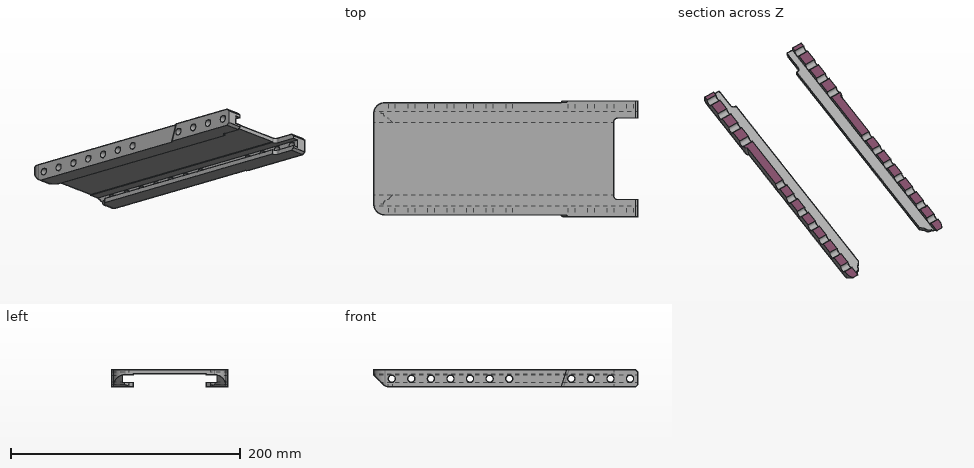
import cadquery as cq
import math

LENGTH = 230.0
WIDTH = 101.0
HEIGHT = 15.0

PLATE_THICKNESS = 4.4
RELIEF_DEPTH = 0.7
FLANGE_THICKNESS = 4.0
WALL_INSET = 9.5
FLANGE_INSET = 18.9

SIDE_STEP = 1.5
CORNER_RADIUS = 10.0
STEP_BOTTOM_X = 163.0
STEP_TOP_X = 168.0
STEP_RADIUS = 2.0

BEVEL_BLEND_RADIUS = 7.0

NOTCH_X = 209.0
FORK_WIDTH = 15.2
NOTCH_RADIUS = 3.0
END_CHAMFER = 2.0

HOLE_DIAMETER = 6.0
HOLE_Z = 7.1
HOLE_PITCH = 17.0
FRONT_ROW_X = 15.9
FRONT_ROW_COUNT = 7
REAR_ROW_X = 172.0
REAR_ROW_COUNT = 4

PLATE_UNDERSIDE = HEIGHT - PLATE_THICKNESS
CUT_MARGIN = 2.3


def box(x_start, x_end, width, z_start, z_end):
    """Box centred on Y between the given X and Z limits."""
    return cq.Workplane("XY").box(
        x_end - x_start, width, z_end - z_start, centered=(False, True, False)
    ).translate((x_start, 0, z_start))


def narrow_body():
    """Front body with rounded corners in plan."""
    body = box(0, NOTCH_X, WIDTH - 2 * SIDE_STEP, 0, HEIGHT)
    return body.edges("|Z and <X").fillet(CORNER_RADIUS)


def wide_side(side):
    """Rear side pad with a slanted, rounded front edge; side is +1 or -1."""
    profile = [(STEP_BOTTOM_X, 0), (LENGTH, 0), (LENGTH, HEIGHT), (STEP_TOP_X, HEIGHT)]
    pad = cq.Workplane("XZ").polyline(profile).close().extrude(FORK_WIDTH)
    pad = pad.faces(">X").edges("|Y").chamfer(END_CHAMFER)
    pad = pad.translate((0, FORK_WIDTH - WIDTH / 2, 0))
    slant = cq.Vector(STEP_TOP_X - STEP_BOTTOM_X, 0, HEIGHT)
    pad = pad.faces("<Y").edges(cq.selectors.ParallelDirSelector(slant)).fillet(STEP_RADIUS)
    return pad if side < 0 else pad.mirror("XZ")


def notch():
    """Opening between the fork arms."""
    opening = box(NOTCH_X, LENGTH + CUT_MARGIN, WIDTH - 2 * FORK_WIDTH, 0, HEIGHT)
    return opening.edges("|Z and <X").fillet(NOTCH_RADIUS)


def channel():
    """Space between the walls, and the gap between the flanges relieving the plate."""
    start = -CUT_MARGIN
    end = LENGTH + CUT_MARGIN
    slot = box(start, end, WIDTH - 2 * WALL_INSET, FLANGE_THICKNESS, PLATE_UNDERSIDE)
    gap = box(start, end, WIDTH - 2 * FLANGE_INSET, -CUT_MARGIN, PLATE_UNDERSIDE + RELIEF_DEPTH)
    return slot.union(gap)


def front_bevel():
    """45 degree bevel below the plate, blended by an arc into the underside."""
    tangent = BEVEL_BLEND_RADIUS * math.tan(math.radians(45) / 2)
    tangent_leg = tangent * math.cos(math.radians(45))
    bevel = (
        cq.Workplane("XZ")
        .moveTo(0, 0)
        .lineTo(PLATE_UNDERSIDE + tangent, 0)
        .radiusArc((PLATE_UNDERSIDE - tangent_leg, tangent_leg), BEVEL_BLEND_RADIUS)
        .lineTo(0, PLATE_UNDERSIDE)
        .close()
    )
    return bevel.extrude(WIDTH / 2, both=True)


def flange_nose(side):
    """Cut shaping a flange's front end: a rounded corner, then a slope out to the tip."""
    radius = FORK_WIDTH - WALL_INSET - SIDE_STEP
    half_width = WIDTH / 2
    shoulder_y = side * (half_width - FORK_WIDTH)
    round_y = side * (half_width - FORK_WIDTH + radius)
    tip_y = side * (half_width - FLANGE_INSET)
    nose_x = PLATE_UNDERSIDE - FLANGE_THICKNESS / 2
    shoulder_x = nose_x + radius
    slope_end_x = shoulder_x + FLANGE_INSET - FORK_WIDTH
    outline = (
        cq.Workplane("XY")
        .moveTo(0, round_y)
        .lineTo(nose_x, round_y)
        .radiusArc((shoulder_x, shoulder_y), -side * radius)
        .lineTo(slope_end_x, tip_y)
        .lineTo(0, tip_y)
        .close()
    )
    return outline.extrude(FLANGE_THICKNESS)


def cross_holes():
    """Both rows of round holes across the full width."""
    centres = []
    for start_x, count in ((FRONT_ROW_X, FRONT_ROW_COUNT), (REAR_ROW_X, REAR_ROW_COUNT)):
        centres += [(start_x + index * HOLE_PITCH, HOLE_Z) for index in range(count)]
    holes = cq.Workplane("XZ").pushPoints(centres).circle(HOLE_DIAMETER / 2)
    return holes.extrude(WIDTH, both=True)


body = narrow_body()
for side in (1, -1):
    body = body.union(wide_side(side))

fork_root = box(NOTCH_X - CUT_MARGIN, NOTCH_X + NOTCH_RADIUS, WIDTH - 2 * FORK_WIDTH, 0, HEIGHT)
body = body.union(fork_root).cut(notch())

body = body.cut(channel()).cut(front_bevel()).cut(cross_holes())
for side in (1, -1):
    body = body.cut(flange_nose(side))

result = body